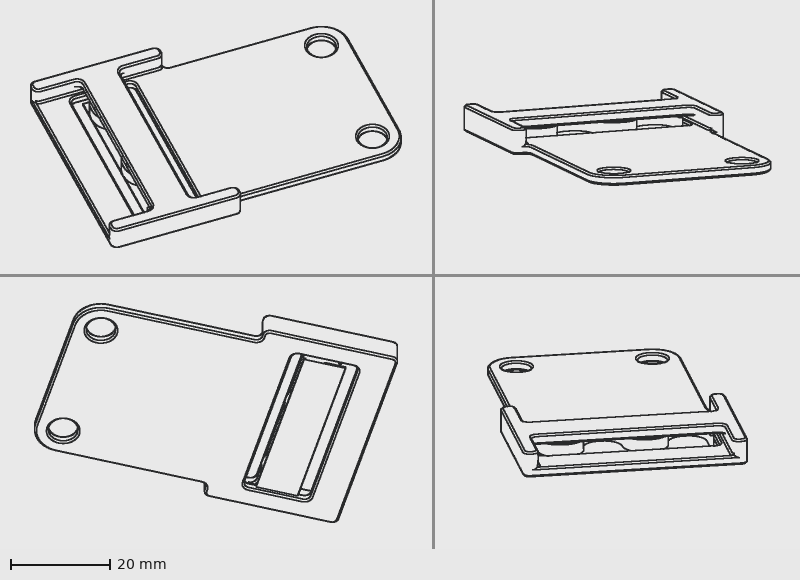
import cadquery as cq
import math

total_width = 46.0
total_length = 65.8
total_height = 5.4

plate_width = 39.5
ear_gap = 39.75
plate_thickness = 2.0
plate_corner_radius = 5.8
edge_chamfer = 0.4
ear_length = 28.1
ear_end_radius = 1.3
neck_radius = 1.3
strap_hole_diameter = 6.0

bridge_width = 8.0
bridge_underside = 3.2
bridge_corner_radius = 1.3
slot_width = 37.2
slot_length = 13.95
slot_corner_radius = 1.3

wave_wall = 0.7
wave_radius = 4.0
wave_flat = 0.65
bar_base_thickness = 0.4
bar_height = 3.0

ear_width = (total_width - ear_gap) / 2
ear_x = (ear_gap + ear_width) / 2
ear_centre_y = ear_length / 2
window_length = (ear_length - bridge_width) / 2
hole_x = plate_width / 2 - plate_corner_radius
hole_y = total_length - plate_corner_radius
half_pitch = 2 * wave_radius + wave_flat
bar_width = 4 * half_pitch + wave_wall
bar_depth = 2 * wave_radius + wave_wall


def block(width, length, height, y_min, z_min):
    """Box centred on X with its front at y_min and its underside at z_min."""
    return (
        cq.Workplane("XY", origin=(0, 0, z_min))
        .rect(width, length)
        .extrude(height)
        .translate((0, y_min + length / 2, 0))
    )


def make_floor():
    """Flat plate: a wide section under the ears and a narrower tongue with rounded corners."""
    wide = block(total_width, ear_length, plate_thickness, 0, 0).edges("|Z").fillet(ear_end_radius)
    tongue = block(plate_width, total_length, plate_thickness, 0, 0)
    tongue = tongue.edges("|Z and >Y").fillet(plate_corner_radius)
    neck_edges = cq.selectors.BoxSelector(
        (-plate_width / 2 - 0.65, ear_length - 0.65, -0.65),
        (plate_width / 2 + 0.65, ear_length + 0.65, plate_thickness + 0.65),
    )
    floor = wide.union(tongue).edges("|Z").edges(neck_edges).fillet(neck_radius)
    floor = floor.faces("<Z").chamfer(edge_chamfer)
    return floor.faces(">Z").chamfer(edge_chamfer)


def make_ears():
    """Two upright side bars with rounded ends, stopping below the chamfered top."""
    height = total_height - edge_chamfer
    ears = cq.Workplane("XY")
    for side in (-1, 1):
        ear = block(ear_width, ear_length, height, 0, 0).edges("|Z").fillet(ear_end_radius)
        ear = ear.faces("<Z").chamfer(edge_chamfer)
        ears = ears.add(ear.translate((side * ear_x, 0, 0)))
    return ears.combine()


def make_bridge():
    """H-shaped upper slab: the bridge and the tops of both ears, chamfered above and below."""
    height = total_height - bridge_underside
    slab = block(total_width, ear_length, height, 0, bridge_underside)
    for window_y in (-window_length, ear_length - window_length):
        window = block(ear_gap, 2 * window_length, height, window_y, bridge_underside)
        slab = slab.cut(window)
    inner_corners = cq.selectors.BoxSelector(
        (-plate_width, window_length - 0.65, 0),
        (plate_width, window_length + bridge_width + 0.65, total_height),
    )
    slab = slab.edges("|Z").edges(inner_corners).fillet(bridge_corner_radius)
    slab = slab.edges("|Z and (>Y or <Y)").fillet(ear_end_radius)
    return slab.faces("<Z or >Z").chamfer(edge_chamfer)


def make_ear_feet():
    """45 degree ramps where the inner ear walls and their rounded tips meet the floor."""
    spread = 2 * edge_chamfer
    foot_outline = cq.Sketch().rect(ear_width + spread, ear_length + spread)
    foot_outline = foot_outline.vertices().fillet(ear_end_radius + edge_chamfer)
    foot = cq.Workplane("XY", origin=(ear_x, ear_centre_y, plate_thickness))
    foot = foot.placeSketch(foot_outline).extrude(edge_chamfer, taper=45)
    floor_area = block(2 * ear_x, ear_length - spread, total_height, edge_chamfer, 0)
    foot = foot.intersect(floor_area)
    return foot.union(foot.mirror("YZ"))


def cut_opening(frame, outline, x, y):
    """Cut a closed outline through the floor at (x, y) and chamfer both of its rims."""
    through = cq.Workplane("XY").placeSketch(outline).extrude(plate_thickness)
    top_rim = cq.Workplane("XY", origin=(0, 0, plate_thickness - edge_chamfer))
    top_rim = top_rim.placeSketch(outline).extrude(edge_chamfer, taper=-45)
    bottom_rim = top_rim.mirror("XY", (0, 0, plate_thickness / 2))
    for cutter in (through, top_rim, bottom_rim):
        frame = frame.cut(cutter.translate((x, y, 0)))
    return frame


def make_frame():
    """Complete buckle frame as one solid, with its strap holes and the slot under the bridge."""
    frame = make_floor().union(make_ears()).union(make_bridge()).union(make_ear_feet())
    hole = cq.Sketch().circle(strap_hole_diameter / 2)
    for side in (-1, 1):
        frame = cut_opening(frame, hole, side * hole_x, hole_y)
    slot = cq.Sketch().rect(slot_width, slot_length).vertices().fillet(slot_corner_radius)
    return cut_opening(frame, slot, 0, ear_centre_y)


def wave_path():
    """Centreline of the wave: quarter arcs and short flats, from the left end to the right end."""
    diagonal = wave_radius * math.sqrt(0.5)
    x = -2 * half_pitch
    path = cq.Workplane("XY").moveTo(x, wave_radius).lineTo(x, 0)
    for side in (-1, 1, -1, 1):
        crest_y = side * wave_radius
        rise_x = x + wave_radius
        fall_x = rise_x + wave_flat
        path = path.threePointArc((rise_x - diagonal, side * diagonal), (rise_x, crest_y))
        path = path.lineTo(fall_x, crest_y)
        x = fall_x + wave_radius
        path = path.threePointArc((fall_x + diagonal, side * diagonal), (x, 0))
    return path.lineTo(x, -wave_radius)


def make_wave_bar():
    """Loose bar: a thin base strip carrying an upright wave-shaped wall."""
    base = cq.Workplane("XY").rect(bar_width, bar_depth).extrude(bar_base_thickness)
    wall = wave_path().offset2D(wave_wall / 2).extrude(bar_height)
    bar = base.union(wall)
    return bar.translate((0, ear_centre_y, 0))


frame = make_frame()
wave_bar = make_wave_bar()
result = cq.Compound.makeCompound([frame.val(), wave_bar.val()])